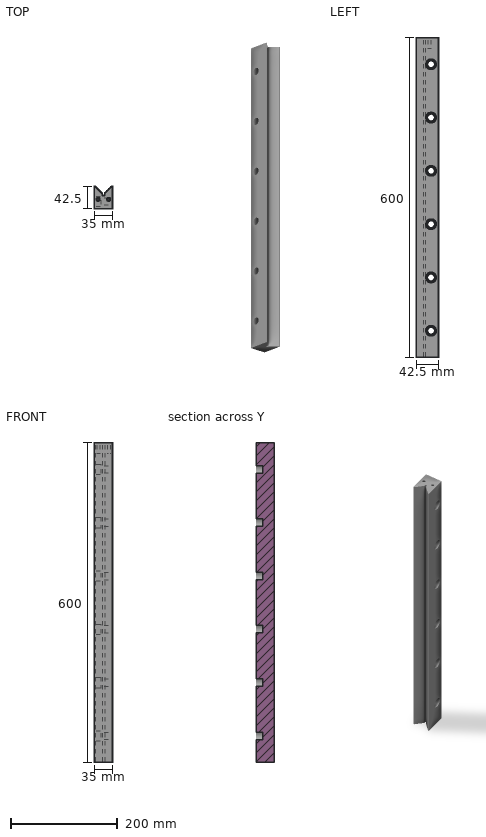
import cadquery as cq

WIDTH = 35.0
DEPTH = 42.5
LENGTH = 600.0

TIP_LAND = 2.0
GROOVE_HALF_WIDTH = WIDTH / 2 - TIP_LAND
RELIEF_WIDTH = 4.0
RELIEF_DEPTH = 17.5
FLANK_DEPTH = GROOVE_HALF_WIDTH - RELIEF_WIDTH / 2

BOLT_COUNT = 6
BOLT_PITCH = LENGTH / BOLT_COUNT
BOLT_FROM_FRONT = 14.5
BOLT_DIAMETER = 14.0
COUNTERBORE_DIAMETER = 19.0
COUNTERBORE_DEPTH = 12.0

END_HOLE_SPACING = 20.0
END_HOLE_FROM_FRONT = 18.0
END_HOLE_DIAMETER = 5.5
END_HOLE_DEPTH = 20.0
END_HOLE_CHAMFER = 0.5

LEFT = -WIDTH / 2
FRONT = -DEPTH / 2
BACK = DEPTH / 2
TOP = LENGTH / 2


def make_bar():
    """Extrude the cross-section, with its V groove and relief slot open to the back."""
    profile = [
        (LEFT, FRONT),
        (-LEFT, FRONT),
        (-LEFT, BACK),
        (GROOVE_HALF_WIDTH, BACK),
        (RELIEF_WIDTH / 2, BACK - FLANK_DEPTH),
        (RELIEF_WIDTH / 2, BACK - RELIEF_DEPTH),
        (-RELIEF_WIDTH / 2, BACK - RELIEF_DEPTH),
        (-RELIEF_WIDTH / 2, BACK - FLANK_DEPTH),
        (-GROOVE_HALF_WIDTH, BACK),
        (LEFT, BACK),
    ]
    bar = cq.Workplane("XY").polyline(profile).close().extrude(LENGTH)
    return bar.translate((0, 0, -TOP))


def cut_bolt_holes(bar):
    """Drill the evenly spaced cross holes, counterbored on the left side."""
    first_z = -TOP + BOLT_PITCH / 2
    centres = [(FRONT + BOLT_FROM_FRONT, first_z + i * BOLT_PITCH) for i in range(BOLT_COUNT)]
    left_face = cq.Workplane("YZ", origin=(LEFT, 0, 0)).pushPoints(centres)
    through_holes = left_face.circle(BOLT_DIAMETER / 2).extrude(WIDTH)
    counterbores = left_face.circle(COUNTERBORE_DIAMETER / 2).extrude(COUNTERBORE_DEPTH)
    return bar.cut(through_holes).cut(counterbores)


def cut_end_holes(bar):
    """Drill the two blind holes down from the top end, each with a chamfered mouth."""
    hole_y = FRONT + END_HOLE_FROM_FRONT
    centres = [(side * END_HOLE_SPACING / 2, hole_y) for side in (-1, 1)]
    top_face = cq.Workplane("XY", origin=(0, 0, TOP)).pushPoints(centres)
    holes = top_face.circle(END_HOLE_DIAMETER / 2).extrude(-END_HOLE_DEPTH)
    mouth_radius = END_HOLE_DIAMETER / 2 + END_HOLE_CHAMFER
    mouths = top_face.circle(mouth_radius).extrude(-END_HOLE_CHAMFER, taper=45)
    return bar.cut(holes).cut(mouths)


result = cut_end_holes(cut_bolt_holes(make_bar()))